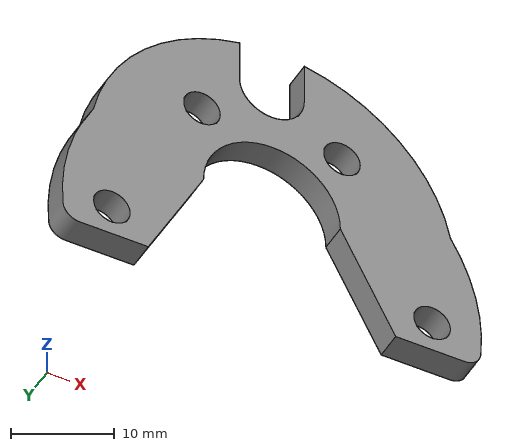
import cadquery as cq
import math

width = 45.9
height = 31.2
thickness = 3.0
half_width = width / 2
back_face = (0, thickness / 2, 0)

notch_width = 7.05
notch_half = notch_width / 2
shoulder_z = 15.55
foot_arc_z = 3.55
foot_arc_radius = half_width
corner_radius = 1.85

arch_radius = 7.5
arch_z = 11.5
opening_half_width = 13.55

notch_centre_z = 26.45

hole_diameter = 4.0
upper_hole_x = 7.65
upper_hole_z = 20.8
lower_hole_x = 17.53
lower_hole_z = foot_arc_z

foot_corner_x = math.sqrt(foot_arc_radius**2 - foot_arc_z**2)
shoulder_x = math.sqrt(foot_arc_radius**2 - (shoulder_z - foot_arc_z) ** 2)

crown_z = (notch_half**2 + height**2 - shoulder_x**2 - shoulder_z**2) / (2 * (height - shoulder_z))
crown_radius = math.hypot(notch_half, height - crown_z)


def arc_midpoint(radius, centre_z, start, end):
    """Middle of the arc, centred on the axis, between two (x, z) points."""
    start_angle = math.atan2(start[1] - centre_z, start[0])
    end_angle = math.atan2(end[1] - centre_z, end[0])
    angle = (start_angle + end_angle) / 2
    return radius * math.cos(angle), centre_z + radius * math.sin(angle)


def mirrored(point):
    return -point[0], point[1]


def make_plate():
    """Arched plate with its top notch, centred through the thickness."""
    foot_corner = (foot_corner_x, 0)
    foot_side = (half_width, foot_arc_z)
    shoulder = (shoulder_x, shoulder_z)
    notch_edge = (notch_half, height)
    crown_mid = arc_midpoint(crown_radius, crown_z, shoulder, notch_edge)
    return (
        cq.Workplane("XZ", origin=back_face)
        .moveTo(opening_half_width, 0)
        .lineTo(*foot_corner)
        .threePointArc(foot_side, shoulder)
        .threePointArc(crown_mid, notch_edge)
        .lineTo(notch_half, notch_centre_z)
        .threePointArc((0, notch_centre_z - notch_half), (-notch_half, notch_centre_z))
        .lineTo(*mirrored(notch_edge))
        .threePointArc(mirrored(crown_mid), mirrored(shoulder))
        .threePointArc(mirrored(foot_side), mirrored(foot_corner))
        .lineTo(-opening_half_width, 0)
        .lineTo(-arch_radius, arch_z)
        .threePointArc((0, arch_z + arch_radius), (arch_radius, arch_z))
        .close()
        .extrude(thickness)
    )


def round_foot_corners(plate):
    """Round the two outer bottom corners of the feet."""
    corner_edges = [
        cq.NearestToPointSelector((side * foot_corner_x, -thickness / 2, 0))
        for side in (-1, 1)
    ]
    return plate.edges("|Y").edges(corner_edges[0] + corner_edges[1]).fillet(corner_radius)


def make_holes():
    """Cylinders for the four through holes."""
    centres = [
        (side * x, z)
        for side in (-1, 1)
        for x, z in ((upper_hole_x, upper_hole_z), (lower_hole_x, lower_hole_z))
    ]
    return (
        cq.Workplane("XZ", origin=back_face)
        .pushPoints(centres)
        .circle(hole_diameter / 2)
        .extrude(thickness)
    )


result = round_foot_corners(make_plate()).cut(make_holes())